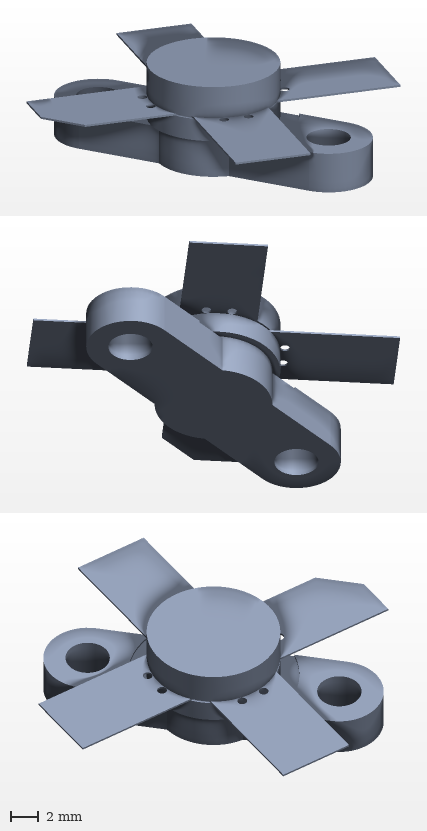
import cadquery as cq
import math

flange_length = 24.9
flange_width = 6.4
flange_height = 3.0
mount_hole_dia = 3.2
mount_hole_pitch = flange_length - flange_width

pedestal_dia = 8.5
recess_dia = 12.4
recess_depth = 0.15
recess_floor = flange_height - recess_depth

body_dia = 9.65
total_height = 7.2

lead_span = 22.8
lead_width = 5.7
lead_thickness = 0.15
lead_bottom = 4.65
lead_top = lead_bottom + lead_thickness
lead_length = lead_span / math.sqrt(2) - lead_width / 2
lead_angles = (45, 135, 225, 315)
marker_angle = 225
marker_cut_y = -9.62

lead_hole_dia = 0.7
lead_hole_radial = 5.1
lead_hole_offset = 0.93


def disc(diameter, bottom, height):
    return cq.Workplane("XY").workplane(offset=bottom).circle(diameter / 2).extrude(height)


def make_flange():
    flange = cq.Workplane("XY").slot2D(flange_length, flange_width).extrude(flange_height)
    holes = (
        cq.Workplane("XY")
        .pushPoints([(-mount_hole_pitch / 2, 0), (mount_hole_pitch / 2, 0)])
        .circle(mount_hole_dia / 2)
        .extrude(flange_height)
    )
    recess = disc(recess_dia, recess_floor, recess_depth)
    return flange.cut(holes).cut(recess).union(disc(pedestal_dia, 0, flange_height))


def make_body():
    base = disc(body_dia, flange_height, lead_bottom - flange_height)
    cap = disc(body_dia, lead_top, total_height - lead_top)
    return base.union(cap)


def make_lead(angle):
    base = cq.Workplane("XY").workplane(offset=lead_bottom)
    lead = base.rect(lead_length, lead_width).extrude(lead_thickness).translate((lead_length / 2, 0, 0))
    holes = (
        base.pushPoints([(lead_hole_radial, -lead_hole_offset), (lead_hole_radial, lead_hole_offset)])
        .circle(lead_hole_dia / 2)
        .extrude(lead_thickness)
    )
    return lead.cut(holes).rotate((0, 0, 0), (0, 0, 1), angle)


def cut_marker_corner(lead):
    """Trim the lead tip square to Y to mark the first terminal."""
    beyond_cut = (
        cq.Workplane("XY")
        .workplane(offset=lead_bottom)
        .center(0, marker_cut_y - lead_span / 2)
        .rect(lead_span, lead_span)
        .extrude(lead_thickness)
    )
    return lead.cut(beyond_cut)


result = make_flange().union(make_body())
for lead_angle in lead_angles:
    terminal = make_lead(lead_angle)
    if lead_angle == marker_angle:
        terminal = cut_marker_corner(terminal)
    result = result.union(terminal)